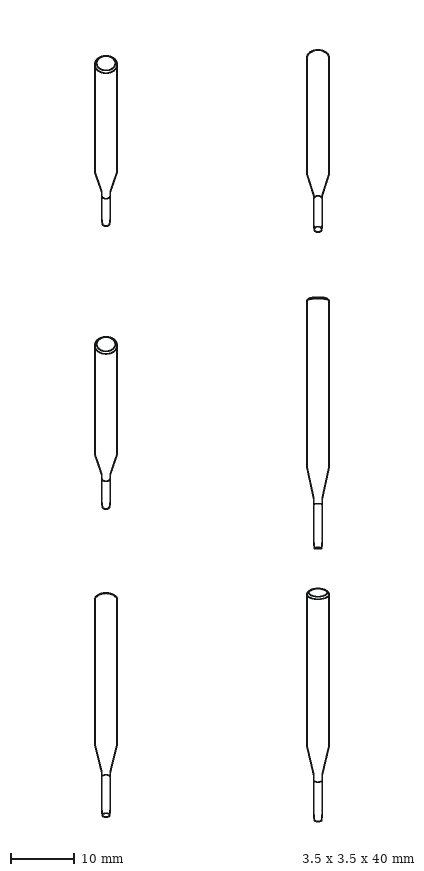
import cadquery as cq

total_length = 40.0
shank_diameter = 3.5
neck_diameter = 1.4
tip_diameter = 1.2

tip_taper_height = 1.2
joint_height = 7.0
cone_bottom_height = 8.0
cone_top_height = 13.0

end_chamfer = 0.3

shank_radius = shank_diameter / 2
neck_radius = neck_diameter / 2
tip_radius = tip_diameter / 2


def revolve_about_z(profile_points):
    """Turn a closed (radius, height) profile into a solid of revolution about Z."""
    return cq.Workplane("XZ").polyline(profile_points).close().revolve(360, (0, 0), (0, 1))


def make_shank():
    """Shank with a chamfered top end and a cone that leads down to a short neck."""
    return revolve_about_z([
        (0, joint_height),
        (neck_radius, joint_height),
        (neck_radius, cone_bottom_height),
        (shank_radius, cone_top_height),
        (shank_radius, total_length - end_chamfer),
        (shank_radius - end_chamfer, total_length),
        (0, total_length),
    ])


def make_cutting_head():
    """Slim cylinder that continues the neck and tapers towards its flat tip."""
    return revolve_about_z([
        (0, 0),
        (tip_radius, 0),
        (neck_radius, tip_taper_height),
        (neck_radius, joint_height),
        (0, joint_height),
    ])


shank = make_shank()
cutting_head = make_cutting_head()

result = cq.Compound.makeCompound([shank.val(), cutting_head.val()])